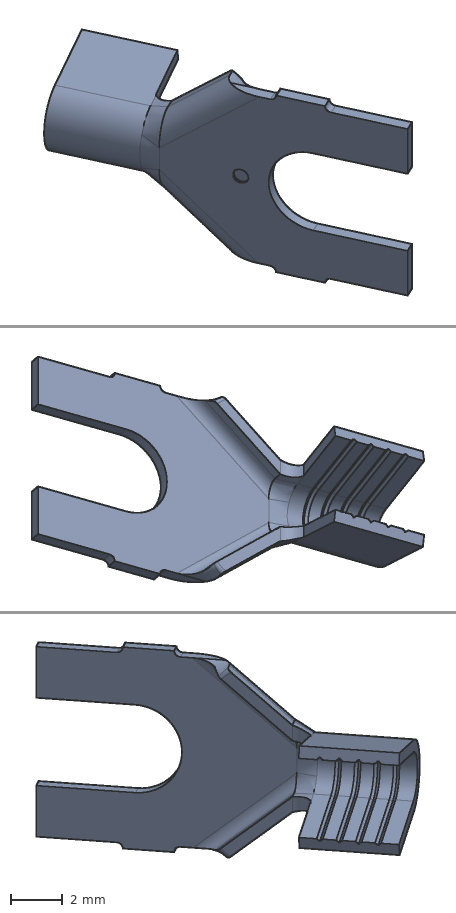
import cadquery as cq
import math

LENGTH = 15.06
SHEET = 0.5
TONGUE_HALF = 3.98
TAB_HALF = 4.22
TAB_START = 9.37
TAB_END = 11.88
SLOT_RADIUS = 1.84
SLOT_CENTER_X = 11.15
DIMPLE_X = 8.15
DIMPLE_RADIUS = 0.32
DIMPLE_DEPTH = 0.1

SHOULDER_X = 4.77
SHOULDER_ANGLE = math.radians(40)
CREASE_HALF = 0.53
BEND_RADIUS = 2 * SHEET
FLANGE_HEIGHT = 1.4
FLANGE_CORNER_RADIUS = 0.18

BARREL_LENGTH = 3.96
BARREL_RADIUS = 1.54
BARREL_DEPTH = 4.32
ARM_ANGLE = math.radians(12)
GROOVE_COUNT = 4
GROOVE_PITCH = 0.77
GROOVE_WIDTH = 0.24
GROOVE_DEPTH = 0.1
CUT_OVERLAP = 0.02

NECK_TOP = 1.8
NECK_SWEEP_RADIUS = 1.0
NECK_SPLIT = math.radians(31)

SIN_S, COS_S = math.sin(SHOULDER_ANGLE), math.cos(SHOULDER_ANGLE)
SIN_A, COS_A = math.sin(ARM_ANGLE), math.cos(ARM_ANGLE)
INNER_BEND_RADIUS = BEND_RADIUS - SHEET
BEND_ANGLES = (0, math.pi / 4, math.pi / 2)
TAB_FILLET = TAB_HALF - TONGUE_HALF
CREASE_END_X = SHOULDER_X + (TONGUE_HALF - CREASE_HALF) / math.tan(SHOULDER_ANGLE)
FLANGE_END_X = CREASE_END_X - BEND_RADIUS / SIN_S
ARM_TANGENT = math.pi / 2 - ARM_ANGLE
BORE_RADIUS = BARREL_RADIUS - SHEET
ARM_LENGTH = (BARREL_DEPTH - BARREL_RADIUS + BORE_RADIUS * SIN_A) / COS_A


def with_mirror(upper):
    """The given solid joined with its mirror image below Z = 0."""
    return upper.union(upper.mirror("XY"))


def across(x):
    """Sketch plane square to X, with local axes along Y and Z."""
    return cq.Workplane("YZ", origin=(x, 0, 0))


def level(y=0.0):
    """Sketch plane square to Y, with local axes along X and Z; extrude by a negative depth to go up."""
    return cq.Workplane("XZ", origin=(0, y, 0))


def barrel_point(radius, angle):
    """Point (Y, Z) on a barrel arc, at an angle from the bottom of the U."""
    return BARREL_RADIUS - radius * math.cos(angle), radius * math.sin(angle)


def arm_point(radius, distance):
    """Point (Y, Z) on a barrel arm, at a distance beyond the end of its arc."""
    y, z = barrel_point(radius, ARM_TANGENT)
    return y + distance * COS_A, z + distance * SIN_A


def arm_point_at(radius, y):
    """Point (Y, Z) on a barrel arm, at a given Y."""
    return arm_point(radius, (y - barrel_point(radius, ARM_TANGENT)[0]) / COS_A)


def bend_point(radius, angle):
    """Point (Y, Z) on a shoulder bend where the square section at the neck cuts it obliquely."""
    y = BEND_RADIUS - radius * math.cos(angle)
    return y, CREASE_HALF + radius * math.sin(angle) / COS_S


def tongue():
    """Forked flat plate with a tab on each edge and a shallow dimple."""
    upper = (
        level()
        .moveTo(SHOULDER_X, 0)
        .lineTo(SHOULDER_X, CREASE_HALF)
        .lineTo(CREASE_END_X, TONGUE_HALF)
        .lineTo(TAB_START, TONGUE_HALF)
        .radiusArc((TAB_START + TAB_FILLET, TAB_HALF), -TAB_FILLET)
        .lineTo(TAB_END - TAB_FILLET, TAB_HALF)
        .radiusArc((TAB_END, TONGUE_HALF), -TAB_FILLET)
        .lineTo(LENGTH, TONGUE_HALF)
        .lineTo(LENGTH, SLOT_RADIUS)
        .lineTo(SLOT_CENTER_X, SLOT_RADIUS)
        .radiusArc((SLOT_CENTER_X - SLOT_RADIUS, 0), -SLOT_RADIUS)
        .close()
        .extrude(-SHEET)
    )
    dimple = level().center(DIMPLE_X, 0).circle(DIMPLE_RADIUS).extrude(-DIMPLE_DEPTH)
    return with_mirror(upper).cut(dimple)


def flange_end_wedge():
    """Waste beyond the flange end, which twists to stay square to the bent sheet."""
    reach = 1.5 * SHEET
    tip = (FLANGE_END_X + reach * SIN_S, TONGUE_HALF - reach * COS_S)
    outside = (CREASE_END_X, TONGUE_HALF + SHEET)
    return (
        level(SHEET)
        .polyline([(FLANGE_END_X, TONGUE_HALF), (CREASE_END_X, TONGUE_HALF), outside])
        .close()
        .workplane(offset=SHEET - FLANGE_HEIGHT)
        .polyline([(FLANGE_END_X, TONGUE_HALF), tip, outside])
        .close()
        .loft(ruled=True)
    )


def flange():
    """Upper shoulder flange: a right-angle bend swept along its crease."""
    section = cq.Plane(
        origin=(SHOULDER_X, 0, CREASE_HALF), xDir=(-SIN_S, 0, COS_S), normal=(-COS_S, 0, -SIN_S)
    )
    bend = (
        cq.Workplane(section)
        .radiusArc((BEND_RADIUS, BEND_RADIUS), -BEND_RADIUS)
        .lineTo(BEND_RADIUS, FLANGE_HEIGHT)
        .lineTo(INNER_BEND_RADIUS, FLANGE_HEIGHT)
        .lineTo(INNER_BEND_RADIUS, BEND_RADIUS)
        .radiusArc((0, SHEET), INNER_BEND_RADIUS)
        .close()
        .extrude(LENGTH, both=True)
    )
    span = (
        cq.Workplane()
        .box(LENGTH, FLANGE_HEIGHT, TONGUE_HALF, centered=False)
        .translate((SHOULDER_X, 0, 0))
    )
    top_end_middle = (FLANGE_END_X + SHEET / 2 * SIN_S, FLANGE_HEIGHT, TONGUE_HALF - SHEET / 2 * COS_S)
    top_end = cq.selectors.NearestToPointSelector(top_end_middle)
    return bend.intersect(span).cut(flange_end_wedge()).edges(top_end).fillet(FLANGE_CORNER_RADIUS)


def barrel_half(radius, thickness, x):
    """Closed outline of the upper half of the U at X, between two concentric walls."""
    bore = radius - thickness
    return (
        across(x)
        .moveTo(*barrel_point(radius, 0))
        .threePointArc(barrel_point(radius, ARM_TANGENT / 2), barrel_point(radius, ARM_TANGENT))
        .lineTo(*arm_point(radius, ARM_LENGTH))
        .lineTo(*arm_point(bore, ARM_LENGTH))
        .lineTo(*barrel_point(bore, ARM_TANGENT))
        .threePointArc(barrel_point(bore, ARM_TANGENT / 2), barrel_point(bore, 0))
        .close()
    )


def groove(x):
    """V-shaped grip groove around the inside of the U, deepest at X."""
    mouth = barrel_half(BORE_RADIUS, CUT_OVERLAP, x - GROOVE_WIDTH / 2).val()
    bottom = barrel_half(BORE_RADIUS + GROOVE_DEPTH, GROOVE_DEPTH + CUT_OVERLAP, x).val()
    rising_side = cq.Solid.makeLoft([mouth, bottom], True)
    upper = cq.Workplane(rising_side).union(cq.Workplane(rising_side.mirror("YZ", (x, 0, 0))))
    return with_mirror(upper)


def barrel():
    """Open crimp barrel with evenly spaced grip grooves."""
    body = with_mirror(barrel_half(BARREL_RADIUS, SHEET, 0).extrude(BARREL_LENGTH))
    first = (BARREL_LENGTH - (GROOVE_COUNT - 1) * GROOVE_PITCH) / 2
    for index in range(GROOVE_COUNT):
        body = body.cut(groove(first + index * GROOVE_PITCH))
    return body


def neck_relief():
    """Waste above the neck, whose top edge sweeps down to the height of the flanges."""
    return (
        cq.Workplane("XY")
        .moveTo(BARREL_LENGTH, NECK_TOP)
        .radiusArc((SHOULDER_X, FLANGE_HEIGHT), -NECK_SWEEP_RADIUS)
        .lineTo(SHOULDER_X, BARREL_DEPTH)
        .lineTo(BARREL_LENGTH, BARREL_DEPTH)
        .close()
        .extrude(TONGUE_HALF, both=True)
    )


def neck_floor():
    """Middle of the neck, which flattens from the round barrel into the flat tongue."""
    start_y, start_z = barrel_point(BARREL_RADIUS, NECK_SPLIT)
    bore_y, bore_z = barrel_point(BORE_RADIUS, NECK_SPLIT)
    return (
        across(BARREL_LENGTH)
        .moveTo(start_y, -start_z)
        .threePointArc(barrel_point(BARREL_RADIUS, 0), (start_y, start_z))
        .lineTo(bore_y, bore_z)
        .threePointArc(barrel_point(BORE_RADIUS, 0), (bore_y, -bore_z))
        .close()
        .workplane(offset=SHOULDER_X - BARREL_LENGTH)
        .polyline([(0, -CREASE_HALF), (0, CREASE_HALF), (SHEET, CREASE_HALF), (SHEET, -CREASE_HALF)])
        .close()
        .loft(ruled=True)
    )


def neck_side():
    """Upper side of the neck, which widens from the barrel wall into the shoulder bend."""
    mid_angle = (NECK_SPLIT + ARM_TANGENT) / 2
    outer_bend = [bend_point(BEND_RADIUS, angle) for angle in BEND_ANGLES]
    inner_bend = [bend_point(INNER_BEND_RADIUS, angle) for angle in BEND_ANGLES]
    return (
        across(BARREL_LENGTH)
        .moveTo(*barrel_point(BARREL_RADIUS, NECK_SPLIT))
        .threePointArc(barrel_point(BARREL_RADIUS, mid_angle), barrel_point(BARREL_RADIUS, ARM_TANGENT))
        .lineTo(*arm_point_at(BARREL_RADIUS, NECK_TOP))
        .lineTo(*arm_point_at(BORE_RADIUS, NECK_TOP))
        .lineTo(*barrel_point(BORE_RADIUS, ARM_TANGENT))
        .threePointArc(barrel_point(BORE_RADIUS, mid_angle), barrel_point(BORE_RADIUS, NECK_SPLIT))
        .close()
        .workplane(offset=SHOULDER_X - BARREL_LENGTH)
        .spline(outer_bend, tangents=[(0, 1), (1, 0)])
        .lineTo(NECK_TOP, outer_bend[-1][1])
        .lineTo(NECK_TOP, inner_bend[-1][1])
        .lineTo(*inner_bend[-1])
        .spline(inner_bend[-2::-1], tangents=[(-1, 0), (0, -1)], includeCurrent=True)
        .close()
        .loft(ruled=True)
    )


def neck():
    """Transition from the barrel U to the wider shoulder."""
    return neck_floor().union(with_mirror(neck_side())).cut(neck_relief())


result = tongue().union(with_mirror(flange())).union(barrel()).union(neck())